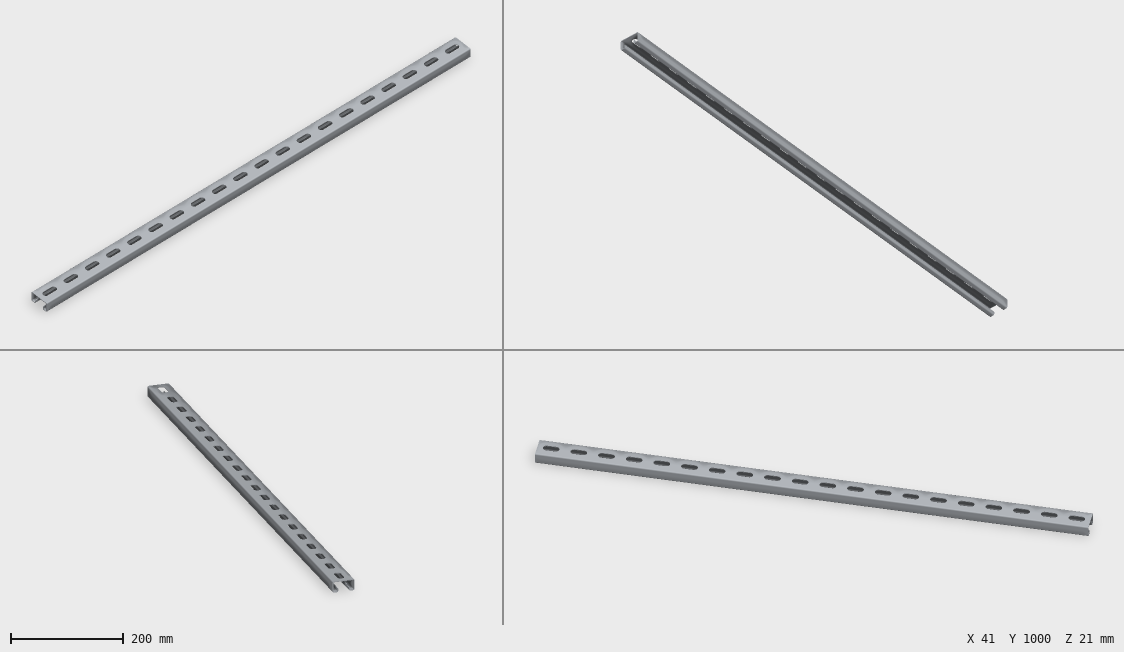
import cadquery as cq

channel_width = 41.0
channel_height = 21.0
channel_length = 1000.0
sheet_thickness = 1.5
inner_bend_radius = 1.0

opening_width = 20.0
lip_height = 7.0

slot_width = 13.0
slot_length = 30.0
slot_pitch = 50.0
slot_count = 20

half_height = channel_height / 2
outer_bend_radius = inner_bend_radius + sheet_thickness
flange_width = (channel_width - opening_width) / 2
flange_centre = (channel_width - flange_width) / 2


def full_length_bar(width, height):
    """Rectangular bar along Y, centred on the origin."""
    return cq.Workplane("XY").box(width, channel_length, height)


def bent_tube(width, height):
    """Closed rectangular tube of the sheet, with every bend rounded inside and out."""
    inner_width = width - 2 * sheet_thickness
    inner_height = height - 2 * sheet_thickness
    outer = full_length_bar(width, height).edges("|Y").fillet(outer_bend_radius)
    inner = full_length_bar(inner_width, inner_height).edges("|Y").fillet(inner_bend_radius)
    return outer.cut(inner)


def make_body():
    """Web, two walls and the outer half of each flange."""
    between_flange_centres = full_length_bar(2 * flange_centre, channel_height)
    below_web = between_flange_centres.translate((0, 0, -half_height))
    return bent_tube(channel_width, channel_height).cut(below_web)


def make_lipped_flange():
    """Flange with its lip and the foot of the wall: a narrow tube cut off at lip height."""
    above_lip = full_length_bar(flange_width, channel_height).translate((0, 0, lip_height))
    return bent_tube(flange_width, channel_height).cut(above_lip)


def make_channel():
    """Complete folded section without slots."""
    channel = make_body()
    lipped_flange = make_lipped_flange()
    for side in (-1, 1):
        channel = channel.union(lipped_flange.translate((side * flange_centre, 0, 0)))
    return channel.clean()


def make_slots():
    """Cutters for the row of slots through the web."""
    return (
        cq.Workplane("XY")
        .rarray(1, slot_pitch, 1, slot_count)
        .slot2D(slot_length, slot_width, 90)
        .extrude(half_height)
    )


result = make_channel().cut(make_slots())